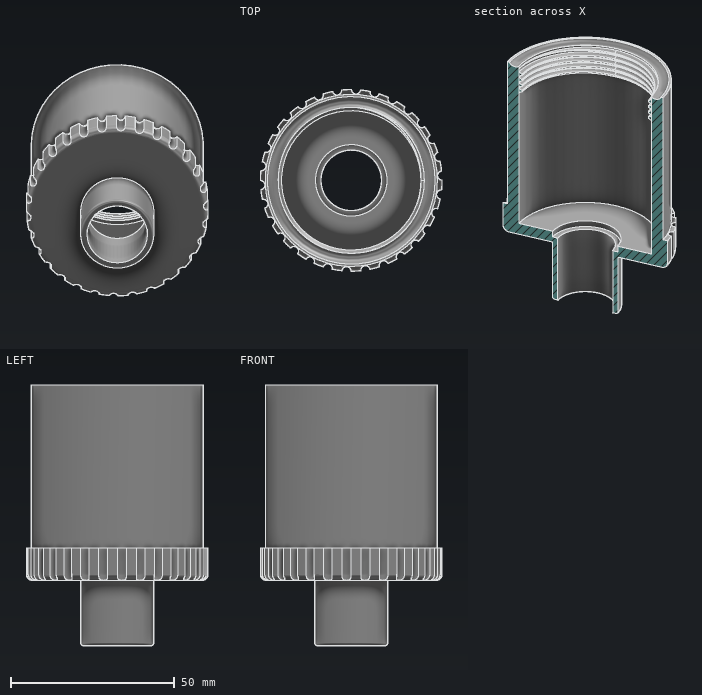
import cadquery as cq
import math

TOTAL_HEIGHT = 80.0
SPIGOT_LENGTH = 20.0
COLLAR_HEIGHT = 10.0
COLLAR_TOP = SPIGOT_LENGTH + COLLAR_HEIGHT

SLEEVE_DIAMETER = 52.8
BORE_DIAMETER = 44.8
FLOOR_THICKNESS = 4.0
FLOOR_TOP = SPIGOT_LENGTH + FLOOR_THICKNESS

SPIGOT_DIAMETER = 22.5
SPIGOT_FILLET = 1.0
HOLE_DIAMETER = 18.5
COUNTERBORE_DIAMETER = 21.9
COUNTERBORE_DEPTH = 2.0

COLLAR_DIAMETER = 55.8
COLLAR_FILLET = 2.0
FLUTE_COUNT = 30
FLUTE_RADIUS = 1.4
FLUTE_START_ANGLE = 3.0

RIM_WIDTH = 0.7
SEAT_INNER_DROP = 0.6
SEAT_SAG = 0.8

PITCH = 1.9
FULL_TURNS = 4
SHARP_HEIGHT = PITCH * math.sqrt(3) / 2
RIDGE_HEIGHT = SHARP_HEIGHT * 5 / 8
ROOT_WIDTH = PITCH * 7 / 8
CREST_WIDTH = PITCH / 4
ROOT_CLEARANCE = 0.01
ROOT_RADIUS = BORE_DIAMETER / 2 - ROOT_CLEARANCE
FADE_TURN = 0.25
HELIX_STEPS = 60
THREAD_TOP_DROP = 2.0
THREAD_TOP = TOTAL_HEIGHT - THREAD_TOP_DROP
THREAD_BOTTOM = THREAD_TOP - FULL_TURNS * PITCH


def make_body_of_revolution():
    """Sleeve, collar and spigot with their bores, turned from one half section."""
    hole_radius = HOLE_DIAMETER / 2
    counterbore_radius = COUNTERBORE_DIAMETER / 2
    spigot_radius = SPIGOT_DIAMETER / 2
    collar_radius = COLLAR_DIAMETER / 2
    sleeve_radius = SLEEVE_DIAMETER / 2
    bore_radius = BORE_DIAMETER / 2
    counterbore_floor = FLOOR_TOP - COUNTERBORE_DEPTH

    seat_outer_radius = sleeve_radius - RIM_WIDTH
    seat_inner_top = TOTAL_HEIGHT - SEAT_INNER_DROP
    section = (
        cq.Workplane("XZ")
        .moveTo(hole_radius, 0)
        .lineTo(spigot_radius, 0)
        .lineTo(spigot_radius, SPIGOT_LENGTH)
        .lineTo(collar_radius, SPIGOT_LENGTH)
        .lineTo(collar_radius, COLLAR_TOP)
        .lineTo(sleeve_radius, COLLAR_TOP)
        .lineTo(sleeve_radius, TOTAL_HEIGHT)
        .lineTo(seat_outer_radius, TOTAL_HEIGHT)
        .sagittaArc((bore_radius, seat_inner_top), SEAT_SAG)
        .lineTo(bore_radius, FLOOR_TOP)
        .lineTo(counterbore_radius, FLOOR_TOP)
        .lineTo(counterbore_radius, counterbore_floor)
        .lineTo(hole_radius, counterbore_floor)
        .close()
    )
    return section.revolve(360, (0, 0), (0, 1))


def round_lower_edges(body):
    """Fillet the outer lower edges of the spigot and the collar."""
    outermost = cq.selectors.RadiusNthSelector(-1)
    body = body.faces("<Z").edges(outermost).fillet(SPIGOT_FILLET)
    return body.edges(outermost).edges("<Z").fillet(COLLAR_FILLET)


def make_flutes():
    """Round cutters for the grip, centred on the collar's rim."""
    return (
        cq.Workplane("XY")
        .workplane(offset=SPIGOT_LENGTH)
        .polarArray(COLLAR_DIAMETER / 2, FLUTE_START_ANGLE, 360, FLUTE_COUNT)
        .circle(FLUTE_RADIUS)
        .extrude(COLLAR_HEIGHT)
    )


def make_housing():
    return round_lower_edges(make_body_of_revolution()).cut(make_flutes())


def ridge_corner_edge(at_crest, side, start_z, turns, fades):
    """One helical edge of a ridge that starts on the +X axis; negative turns run downwards.

    Where the ridge fades, its section shrinks to a point on the bore wall.
    """
    half_width = (CREST_WIDTH if at_crest else ROOT_WIDTH) / 2
    height = RIDGE_HEIGHT if at_crest else 0

    def point(t):
        taper = 1 - t if fades else 1
        radius = ROOT_RADIUS - height * taper
        angle = 2 * math.pi * turns * t
        z = start_z + PITCH * turns * t + side * half_width * taper
        return cq.Vector(radius * math.cos(angle), radius * math.sin(angle), z)

    return cq.Edge.makeSpline([point(i / HELIX_STEPS) for i in range(HELIX_STEPS + 1)])


def make_ridge(start_z, turns, fades=False):
    """A solid ridge bounded by four ruled helical faces and flat end faces."""
    corners = [(False, -1), (True, -1), (True, 1), (False, 1)]
    edges = [ridge_corner_edge(crest, side, start_z, turns, fades) for crest, side in corners]
    faces = [cq.Face.makeRuledSurface(edges[i - 1], edges[i]) for i in range(len(edges))]
    end_positions = [0] if fades else [0, 1]
    for position in end_positions:
        points = [edge.positionAt(position) for edge in edges]
        faces.append(cq.Face.makeFromWires(cq.Wire.makePolygon(points, close=True)))
    return cq.Solid.makeSolid(cq.Shell.makeShell(faces)).fix()


housing = make_housing()
thread_turns = [make_ridge(THREAD_BOTTOM + turn * PITCH, 1) for turn in range(FULL_TURNS)]
thread_ends = [
    make_ridge(THREAD_BOTTOM, -FADE_TURN, fades=True),
    make_ridge(THREAD_TOP, FADE_TURN, fades=True),
]

result = cq.Compound.makeCompound([housing.val(), *thread_turns, *thread_ends])